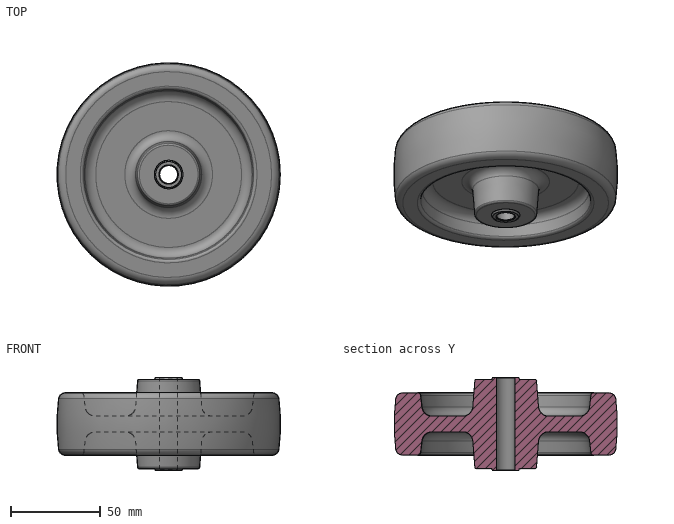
import cadquery as cq
import math

crown_radius = 62.4
shoulder_radius = 61.5
shoulder_z = 14.2
rim_half_width = 17.5
tread_face_radius = 57.4
shoulder_lean = 0.5

rim_edge_radius = 49.3
rim_edge_rounding = 1.5
wall_top_radius = 47.4
wall_base_radius = 46.7

web_half_thickness = 4.5
web_outer_radius = 40.7
web_inner_radius = 24.5
web_fillet_height = 5.0

hub_half_length = 25.0
hub_base_radius = 18.5
hub_top_radius = 17.3
hub_edge_rounding = 1.0

sleeve_protrusion = 1.06
sleeve_half_length = hub_half_length + sleeve_protrusion
sleeve_base_radius = 8.0
sleeve_top_radius = 7.2
bore_radius = 5.0
bore_chamfer = 0.44


def arc_middle(start, end, corner):
    """Middle point of a rounding between start and end that bulges toward corner."""
    share = math.sqrt(0.5)
    return tuple(c + (1 - share) * (s + e - 2 * c) for s, e, c in zip(start, end, corner))


def half_section():
    """Radius-height section of the upper half of the wheel."""
    fillet_top_z = web_half_thickness + web_fillet_height
    shoulder = (shoulder_radius, shoulder_z)
    tread_edge = (tread_face_radius, rim_half_width)
    tread_corner = (shoulder_radius - shoulder_lean, rim_half_width)
    rim_edge = (rim_edge_radius, rim_half_width)
    wall_top = (wall_top_radius, rim_half_width - rim_edge_rounding)
    wall_base = (wall_base_radius, fillet_top_z)
    web_outer = (web_outer_radius, web_half_thickness)
    web_inner = (web_inner_radius, web_half_thickness)
    hub_base = (hub_base_radius, fillet_top_z)
    hub_top = (hub_top_radius, hub_half_length - hub_edge_rounding)
    hub_face = (hub_top_radius - hub_edge_rounding, hub_half_length)

    return (
        cq.Workplane("XZ")
        .moveTo(bore_radius, 0)
        .lineTo(shoulder_radius, 0)
        .lineTo(*shoulder)
        .threePointArc(arc_middle(shoulder, tread_edge, tread_corner), tread_edge)
        .lineTo(*rim_edge)
        .threePointArc(arc_middle(rim_edge, wall_top, (wall_top_radius, rim_half_width)), wall_top)
        .lineTo(*wall_base)
        .threePointArc(
            arc_middle(wall_base, web_outer, (wall_base_radius, web_half_thickness)), web_outer
        )
        .lineTo(*web_inner)
        .threePointArc(
            arc_middle(web_inner, hub_base, (hub_base_radius, web_half_thickness)), hub_base
        )
        .lineTo(*hub_top)
        .threePointArc(arc_middle(hub_top, hub_face, (hub_top_radius, hub_half_length)), hub_face)
        .lineTo(sleeve_base_radius, hub_half_length)
        .lineTo(sleeve_top_radius, sleeve_half_length)
        .lineTo(bore_radius + bore_chamfer, sleeve_half_length)
        .lineTo(bore_radius, sleeve_half_length - bore_chamfer)
        .close()
    )


def crown_section():
    """Section of the bulge that crowns the tread between its two shoulders."""
    return (
        cq.Workplane("XZ")
        .moveTo(shoulder_radius, -shoulder_z)
        .threePointArc((crown_radius, 0), (shoulder_radius, shoulder_z))
        .close()
    )


upper_half = half_section().revolve(360, (0, 0), (0, 1))
crown = crown_section().revolve(360, (0, 0), (0, 1))
result = upper_half.union(upper_half.mirror("XY")).union(crown).clean()